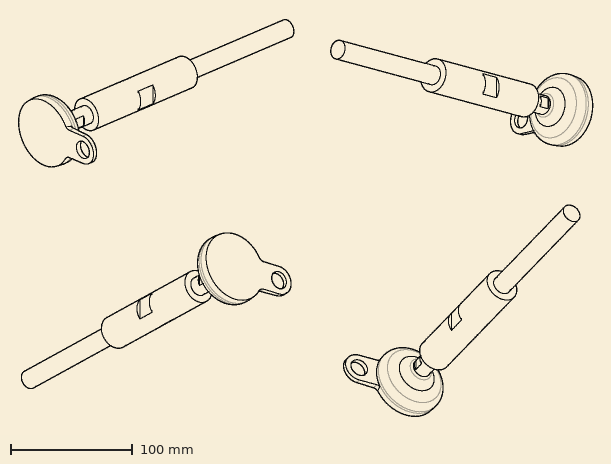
import cadquery as cq

TOTAL_LENGTH = 283.0

FOOT_RADIUS = 30.0
FOOT_BASE_RADIUS = 29.5
FOOT_DRAFT_HEIGHT = 6.2
FOOT_RIM_HEIGHT = 8.8
FOOT_SHOULDER_RADIUS = 25.2
FOOT_SHOULDER_HEIGHT = 15.5
FOOT_TOP_HEIGHT = 19.8

HOLE_CENTRE_X = 45.5
HOLE_DIAMETER = 15.0
TAB_RADIUS = 12.5
TAB_CORNER_RADIUS = 5.0
TAB_ROOT_HEIGHT = 6.2
TAB_ROOT_X = 16.0
TAB_END_HEIGHT = 3.7
TAB_MARGIN = 2.8
TAB_END_X = HOLE_CENTRE_X + TAB_RADIUS

ROD_RADIUS = 8.0
SEAT_RADIUS = 16.5
CONE_TOP_RADIUS = 10.0
CONE_TOP_HEIGHT = 26.5
FLARE_TOP_HEIGHT = 28.3
ROD_FLAT_START = 30.0
ROD_FLAT_LENGTH = 9.5
ROD_FLAT_WIDTH = 13.0

SLEEVE_DIAMETER = 28.0
SLEEVE_RADIUS = SLEEVE_DIAMETER / 2
SLEEVE_START = 49.8
SLEEVE_LENGTH = 115.0
SLEEVE_FLAT_LENGTH = 17.0
SLEEVE_FLAT_START = SLEEVE_START + (SLEEVE_LENGTH - SLEEVE_FLAT_LENGTH) / 2
SLEEVE_FLAT_WIDTH = 22.0


def revolve_about_y(profile):
    """Revolve a closed XY outline fully about the Y axis."""
    return profile.close().revolve(360, (0, 0, 0), (0, 1, 0))


def cylinder_along_y(radius, start, length):
    """A cylinder on the Y axis, growing toward +Y from y = start."""
    plane = cq.Workplane("XZ", origin=(0, start, 0))
    return plane.circle(radius).extrude(-length)


def cut_wrench_flats(body, radius, start, length, width):
    """Cut a pair of flats facing -X and +X, leaving the given width between them."""
    band = cylinder_along_y(2 * radius, start, length)
    core = cq.Workplane("XY").box(width, 2 * length, 4 * radius)
    core = core.translate((0, start + length / 2, 0))
    return body.cut(band.cut(core))


def make_tab():
    """Rounded tab with a sloping top and concave corners where it leaves the foot."""
    disc = cylinder_along_y(FOOT_BASE_RADIUS, 0, TAB_ROOT_HEIGHT)
    bar = (
        cq.Workplane("XZ")
        .center(HOLE_CENTRE_X / 2, 0)
        .rect(HOLE_CENTRE_X, 2 * TAB_RADIUS)
        .extrude(-TAB_ROOT_HEIGHT)
    )
    tip = cylinder_along_y(TAB_RADIUS, 0, TAB_ROOT_HEIGHT).translate((HOLE_CENTRE_X, 0, 0))
    corner_edges = cq.selectors.BoxSelector(
        (FOOT_BASE_RADIUS / 2, -TAB_MARGIN, -FOOT_RADIUS),
        (FOOT_RADIUS, TAB_ROOT_HEIGHT + TAB_MARGIN, FOOT_RADIUS),
    )
    plate = disc.union(bar).union(tip)
    plate = plate.edges("|Y").edges(corner_edges).fillet(TAB_CORNER_RADIUS)

    sloped_side = (
        cq.Workplane("XY")
        .moveTo(0, 0)
        .lineTo(TAB_END_X, 0)
        .lineTo(TAB_END_X, TAB_END_HEIGHT)
        .lineTo(TAB_ROOT_X, TAB_ROOT_HEIGHT)
        .lineTo(0, TAB_ROOT_HEIGHT)
        .close()
        .extrude(FOOT_RADIUS, both=True)
    )
    return plate.intersect(sloped_side)


def make_foot():
    """Domed round foot with a flat seat for the spindle and a drilled tab."""
    profile = (
        cq.Workplane("XY")
        .lineTo(FOOT_BASE_RADIUS, 0)
        .lineTo(FOOT_RADIUS, FOOT_DRAFT_HEIGHT)
        .lineTo(FOOT_RADIUS, FOOT_RIM_HEIGHT)
        .tangentArcPoint((FOOT_SHOULDER_RADIUS, FOOT_SHOULDER_HEIGHT), relative=False)
        .lineTo(SEAT_RADIUS, FOOT_TOP_HEIGHT)
        .lineTo(0, FOOT_TOP_HEIGHT)
    )
    hole = cylinder_along_y(HOLE_DIAMETER / 2, 0, TAB_ROOT_HEIGHT)
    hole = hole.translate((HOLE_CENTRE_X, 0, 0))
    return revolve_about_y(profile).union(make_tab()).cut(hole)


def make_spindle():
    """Long round rod with a conical lower end that rests on the foot."""
    profile = (
        cq.Workplane("XY")
        .moveTo(0, FOOT_TOP_HEIGHT)
        .lineTo(SEAT_RADIUS, FOOT_TOP_HEIGHT)
        .lineTo(CONE_TOP_RADIUS, CONE_TOP_HEIGHT)
        .lineTo(ROD_RADIUS, FLARE_TOP_HEIGHT)
        .lineTo(ROD_RADIUS, TOTAL_LENGTH)
        .lineTo(0, TOTAL_LENGTH)
    )
    spindle = revolve_about_y(profile)
    return cut_wrench_flats(
        spindle, ROD_RADIUS, ROD_FLAT_START, ROD_FLAT_LENGTH, ROD_FLAT_WIDTH
    )


def make_sleeve():
    """Round sleeve fitted on the rod, with two wrench flats at mid-length."""
    sleeve = cylinder_along_y(SLEEVE_RADIUS, SLEEVE_START, SLEEVE_LENGTH)
    sleeve = sleeve.cut(cylinder_along_y(ROD_RADIUS, SLEEVE_START, SLEEVE_LENGTH))
    return cut_wrench_flats(
        sleeve, SLEEVE_RADIUS, SLEEVE_FLAT_START, SLEEVE_FLAT_LENGTH, SLEEVE_FLAT_WIDTH
    )


foot = make_foot().solids()
spindle = make_spindle().solids()
sleeve = make_sleeve().solids()

result = cq.Compound.makeCompound([foot.val(), spindle.val(), sleeve.val()])